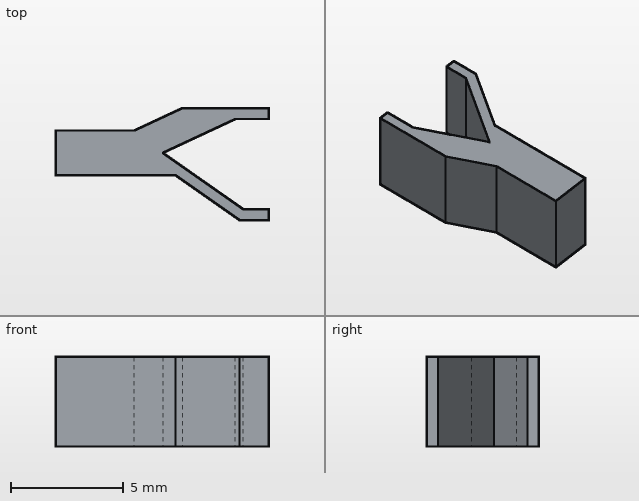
import cadquery as cq
import math

length = 9.5
height = 4.0

stem_half_width = 1.0

tip_thickness = 0.5

wide_arm_angle = 25.0
wide_arm_outer_y = 2.0
wide_arm_bend_start_x = 3.5
wide_arm_tip_length = 1.5

thin_arm_angle = 35.0
thin_arm_outer_y = -3.0


def run(rise, angle):
    """X distance covered by a slope that rises by the given amount."""
    return rise / math.tan(math.radians(angle))


wide_arm_inner_y = wide_arm_outer_y - tip_thickness
wide_arm_outer_bend_x = wide_arm_bend_start_x + run(wide_arm_outer_y - stem_half_width, wide_arm_angle)
wide_arm_inner_bend_x = length - wide_arm_tip_length
crotch_x = wide_arm_inner_bend_x - run(wide_arm_inner_y, wide_arm_angle)

thin_arm_inner_y = thin_arm_outer_y + tip_thickness
thin_arm_inner_bend_x = crotch_x + run(-thin_arm_inner_y, thin_arm_angle)
miter_offset = tip_thickness * math.tan(math.radians(thin_arm_angle / 2))
thin_arm_outer_bend_x = thin_arm_inner_bend_x - miter_offset
thin_arm_bend_start_x = thin_arm_outer_bend_x - run(-stem_half_width - thin_arm_outer_y, thin_arm_angle)

outline = [
    (0, stem_half_width),
    (wide_arm_bend_start_x, stem_half_width),
    (wide_arm_outer_bend_x, wide_arm_outer_y),
    (length, wide_arm_outer_y),
    (length, wide_arm_inner_y),
    (wide_arm_inner_bend_x, wide_arm_inner_y),
    (crotch_x, 0),
    (thin_arm_inner_bend_x, thin_arm_inner_y),
    (length, thin_arm_inner_y),
    (length, thin_arm_outer_y),
    (thin_arm_outer_bend_x, thin_arm_outer_y),
    (thin_arm_bend_start_x, -stem_half_width),
    (0, -stem_half_width),
]

result = cq.Workplane("XY").polyline(outline).close().extrude(height)